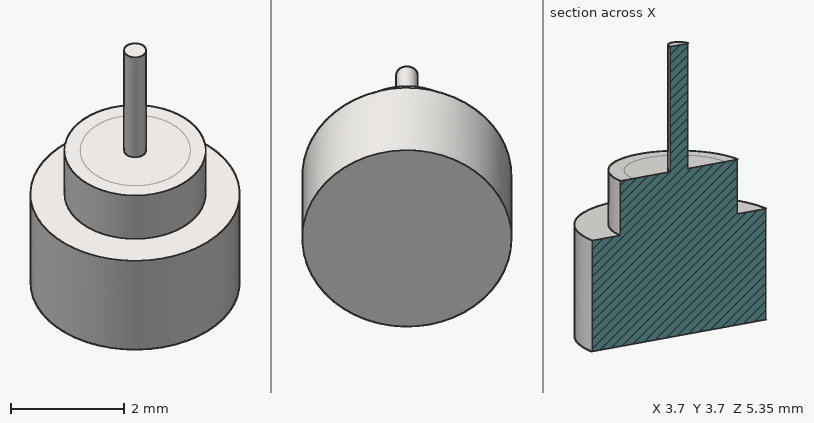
import cadquery as cq

total_height = 5.35

base_diameter = 3.7
base_height = 2.05

collar_diameter = 2.5
collar_height = 1.0

insert_diameter = 1.95

pin_diameter = 0.39

collar_top = base_height + collar_height


def cylinder(diameter, bottom, top):
    """Upright cylinder on the Z axis between two heights."""
    return cq.Workplane("XY").workplane(offset=bottom).circle(diameter / 2).extrude(top - bottom)


base = cylinder(base_diameter, 0, base_height)
collar = cylinder(collar_diameter, base_height, collar_top)
insert = cylinder(insert_diameter, base_height, collar_top)
pin = cylinder(pin_diameter, collar_top, total_height)

collar_with_insert = collar.cut(insert).union(insert, clean=False)
result = base.union(collar_with_insert, clean=False).union(pin, clean=False)